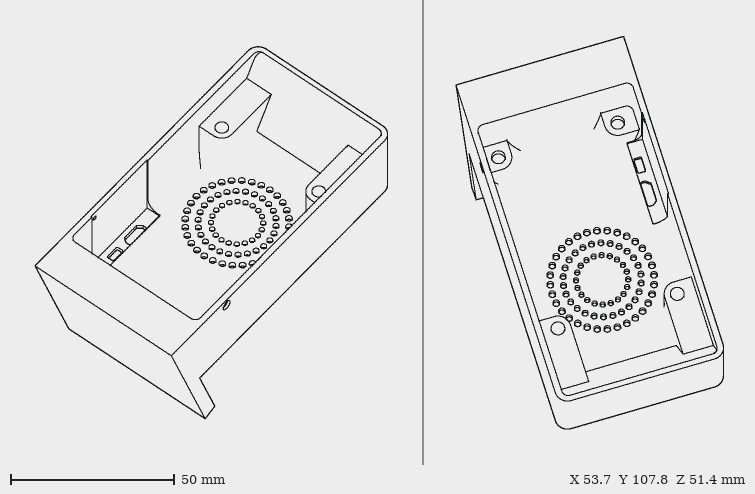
import cadquery as cq
import math

width = 53.7
length = 107.8
box_height = 26.9
total_height = 51.4
rake_angle = 17.8
lip_thickness = 5.0
back_corner_radius = 3.9
front_y = -length / 2
back_y = length / 2

wall = 2.0
back_wall = 1.7
front_rim = 14.7
floor_thickness = 2.0
cavity_corner_radius = 2.0
fillet_radius = 4.0
back_slope_run = 12.6
back_slope_gap = fillet_radius
cavity_half_width = width / 2 - wall
cavity_front_y = front_y + front_rim
cavity_back_y = back_y - back_wall
cavity_length = cavity_back_y - cavity_front_y
cavity_mid_y = (cavity_front_y + cavity_back_y) / 2
floor_z = -box_height + floor_thickness

screw_diameter = 4.2
screw_x = 19.1
rear_screw_y = 27.5
front_screw_y = -34.8
rear_post_top_z = -9.2
front_post_height = 3.0
post_inner_x = screw_x - fillet_radius
rear_post_end_y = rear_screw_y - fillet_radius
front_post_end_y = front_screw_y + fillet_radius

grille_y = 11.3
grille_rings = [
    (16.0, 2.0, 32, 90.0),
    (12.0, 1.8, 26, 88.8),
    (8.0, 1.6, 20, 92.2),
]

recess_left_x = -25.1
recess_width = 5.0
recess_length = 27.3
recess_mid_y = -15.0
recess_depth = 0.5
large_port_y = -11.4
large_port_left_x = -23.5
large_port_right_x = -20.4
large_port_length = 8.2
large_port_chamfer_x = 1.5
large_port_chamfer_y = 1.2
large_port_corner_radius = 0.6
small_port_x = -21.9
small_port_y = -20.9
small_port_width = 2.5
small_port_length = 4.9
small_port_corner_radius = 0.4

side_hole_y = -26.9
side_hole_z = -2.8
small_hole_diameter = 1.4
large_hole_diameter = 3.3
counterbore_diameter = 4.0
counterbore_depth = 1.0


def block(x0, x1, y0, y1, z0, z1):
    """Box between two opposite corners."""
    return cq.Workplane("XY").box(x1 - x0, y1 - y0, z1 - z0, centered=False).translate((x0, y0, z0))


def make_body():
    """Box with a raked front face that runs on below the floor as a lip."""
    rake = math.radians(rake_angle)
    lip_end_y = front_y + total_height * math.tan(rake)
    lip_step_y = lip_thickness * math.cos(rake)
    lip_step_z = lip_thickness * math.sin(rake)
    lip_root_y = front_y + box_height * math.tan(rake) + lip_thickness / math.cos(rake)
    side_outline = [
        (front_y, 0),
        (back_y, 0),
        (back_y, -box_height),
        (lip_root_y, -box_height),
        (lip_end_y + lip_step_y, -total_height + lip_step_z),
        (lip_end_y, -total_height),
    ]
    body = cq.Workplane("YZ").polyline(side_outline).close().extrude(width / 2, both=True)
    return body.edges("|Z and >Y").fillet(back_corner_radius)


def rounded_cavity(bottom_z):
    """Full cavity outline from the top face down to bottom_z."""
    outline = cq.Workplane("XY").workplane(offset=bottom_z).center(0, cavity_mid_y)
    prism = outline.rect(2 * cavity_half_width, cavity_length).extrude(-bottom_z)
    return prism.edges("|Z").fillet(cavity_corner_radius)


def make_cavity():
    """Space inside the box, leaving the posts, floor fillets and sloped back wall."""
    well = block(-cavity_half_width, cavity_half_width, front_post_end_y, rear_post_end_y, floor_z, 0)
    well = well.union(block(-post_inner_x, post_inner_x, cavity_front_y, cavity_back_y, floor_z, 0))
    margin = fillet_radius / 2
    post_edges = cq.selectors.BoxSelector(
        (-post_inner_x - margin, front_post_end_y - margin, floor_z),
        (post_inner_x + margin, rear_post_end_y + margin, 0),
    )
    well = well.edges("|Z").edges(post_edges).fillet(fillet_radius)
    well = well.faces("<Z").edges().fillet(fillet_radius)

    cavity = well.union(rounded_cavity(rear_post_top_z))
    front_post_top_z = floor_z + front_post_height
    fillet_drop = fillet_radius - front_post_height
    trim = fillet_radius - math.sqrt(fillet_radius**2 - fillet_drop**2)
    front_space = rounded_cavity(front_post_top_z)
    inner_x = post_inner_x - trim
    for x0, x1 in [(-cavity_half_width, -inner_x), (inner_x, cavity_half_width)]:
        over_post = block(x0, x1, cavity_front_y, front_post_end_y + trim, front_post_top_z, 0)
        cavity = cavity.union(front_space.intersect(over_post))

    edge_y = cavity_back_y - back_slope_run
    edge_z = floor_z + back_slope_gap
    undercut_y = edge_y + back_slope_gap * -edge_z / back_slope_run
    slope_outline = [
        (cavity_back_y, 0),
        (back_y, 0),
        (back_y, floor_z),
        (undercut_y, floor_z),
        (edge_y, edge_z),
    ]
    slope = cq.Workplane("YZ").polyline(slope_outline).close().extrude(width / 2, both=True)
    return cavity.cut(slope)


def vertical_holes(points, diameter, bottom_z, top_z):
    """Cylinders along Z at the given XY points."""
    tool = cq.Workplane("XY").workplane(offset=bottom_z).pushPoints(points)
    return tool.circle(diameter / 2).extrude(top_z - bottom_z)


def make_grille():
    """Concentric rings of small holes through the floor."""
    tools = cq.Workplane("XY")
    for radius, diameter, count, start in grille_rings:
        angles = [math.radians(start + 360 * i / count) for i in range(count)]
        points = [(radius * math.cos(a), grille_y + radius * math.sin(a)) for a in angles]
        tools = tools.add(vertical_holes(points, diameter, -box_height, floor_z))
    return tools


def make_recess():
    """Shallow floor recess that also notches the -X wall up to its rim."""
    y0 = recess_mid_y - recess_length / 2
    y1 = recess_mid_y + recess_length / 2
    return block(recess_left_x, recess_left_x + recess_width, y0, y1, floor_z - recess_depth, 0)


def make_ports():
    """Two connector openings through the floor of the recess."""
    half = large_port_length / 2
    short = half - large_port_chamfer_y
    chamfer_end_x = large_port_left_x + large_port_chamfer_x
    large = (
        cq.Workplane("XY", origin=(0, large_port_y, -box_height))
        .moveTo(large_port_left_x, -short)
        .lineTo(chamfer_end_x, -half)
        .lineTo(large_port_right_x, -half)
        .lineTo(large_port_right_x, half)
        .lineTo(chamfer_end_x, half)
        .lineTo(large_port_left_x, short)
        .close()
        .extrude(floor_thickness)
        .edges("|Z and >X")
        .fillet(large_port_corner_radius)
    )
    small = (
        cq.Workplane("XY", origin=(small_port_x, small_port_y, -box_height))
        .rect(small_port_width, small_port_length)
        .extrude(floor_thickness)
        .edges("|Z")
        .fillet(small_port_corner_radius)
    )
    return large.union(small)


def make_side_holes():
    """Stepped bore along X through both side walls."""
    axis = cq.Workplane("YZ").center(side_hole_y, side_hole_z)
    small = axis.circle(small_hole_diameter / 2).extrude(-width / 2)
    large = axis.circle(large_hole_diameter / 2).extrude(width / 2)
    counterbore = axis.circle(counterbore_diameter / 2).extrude(cavity_half_width + counterbore_depth)
    return small.union(large).union(counterbore)


rear_screws = [(-screw_x, rear_screw_y), (screw_x, rear_screw_y)]
front_screws = [(-screw_x, front_screw_y), (screw_x, front_screw_y)]

result = make_body().cut(make_cavity())
result = result.cut(vertical_holes(rear_screws, screw_diameter, -box_height, rear_post_top_z))
result = result.cut(vertical_holes(front_screws, screw_diameter, floor_z, floor_z + front_post_height))
for tool in make_grille().vals():
    result = result.cut(cq.Workplane(tool))
result = result.cut(make_recess()).cut(make_ports()).cut(make_side_holes())